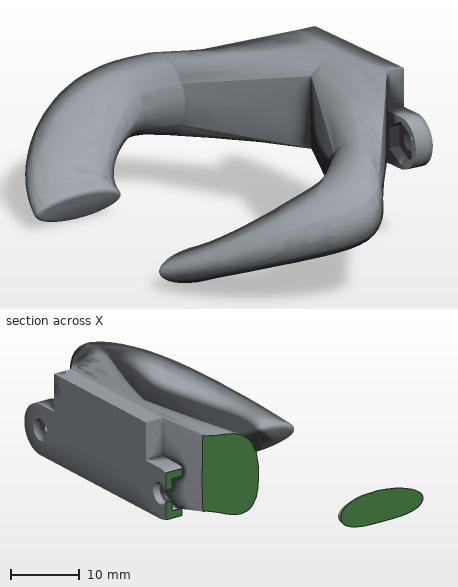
import cadquery as cq
import math

plate_width = 23.0
plate_height = 14.0
plate_thickness = 3.0

ear_height = 8.0
ear_radius = ear_height / 2
ear_center_x = 15.0
ear_center_z = ear_radius
screw_diameter = 3.4
nut_across_flats = 5.7
nut_across_corners = nut_across_flats / math.cos(math.pi / 6)
nut_turn = 30
nut_depth = 1.8

hook_sections = [
    ((-25.5, -17.9, 3.1), 6.8, 6.1, 0, 0),
    ((-29.65, -23.5, 1.5), 7.1, 5.15, 8, 12),
    ((-28.0, -29.35, -0.5), 6.7, 4.4, 34, 20),
    ((-22.9, -35.5, -3.8), 6.5, 3.2, 60, 23),
    ((-15.55, -38.9, -7.55), 7.6, 2.65, 90, 24),
]
tip_rounding = 0.6

corner_angle = math.degrees(math.atan2(plate_height, plate_width))
split_angles = [
    -corner_angle,
    corner_angle,
    180 - corner_angle,
    180 + corner_angle,
    360 - corner_angle,
]


def section_wire(center, half_width, half_thickness, turn, dive):
    """Elliptical cross section, its width horizontal and its plane square to the path."""
    turn = math.radians(turn)
    dive = math.radians(dive)
    width_direction = cq.Vector(-math.cos(turn), -math.sin(turn), 0)
    path_direction = cq.Vector(
        math.sin(turn) * math.cos(dive),
        -math.cos(turn) * math.cos(dive),
        -math.sin(dive),
    )
    arcs = [
        cq.Edge.makeEllipse(
            half_width, half_thickness, cq.Vector(*center), path_direction, width_direction, start, end
        )
        for start, end in zip(split_angles, split_angles[1:])
    ]
    return cq.Wire.assembleEdges(arcs)


def plate_wire():
    """Front outline of the plate, where both arms start."""
    half_width = plate_width / 2
    corners = [
        (-half_width, 0),
        (-half_width, plate_height),
        (half_width, plate_height),
        (half_width, 0),
    ]
    return cq.Wire.makePolygon([cq.Vector(x, -plate_thickness, z) for x, z in corners], close=True)


def left_arm():
    """Straight arm tapering from the full plate outline to the hook."""
    return cq.Workplane(cq.Solid.makeLoft([plate_wire(), section_wire(*hook_sections[0])], True))


def left_hook():
    """Curved hook, flattening towards a tip with a rounded rim."""
    wires = [section_wire(*section) for section in hook_sections]
    hook = cq.Workplane(cq.occ_impl.shapes.loft(wires, cap=True, compat=False))
    return hook.faces(">X").edges().fillet(tip_rounding)


def ear(side):
    """Round ear with a screw hole and a hexagonal nut pocket in its front face."""
    center_x = side * ear_center_x
    center = cq.Workplane("XZ").center(center_x, ear_center_z)
    bar = cq.Workplane("XZ").center(center_x / 2, ear_center_z).rect(ear_center_x, ear_height)
    body = bar.extrude(plate_thickness).union(center.circle(ear_radius).extrude(plate_thickness))
    hole = center.circle(screw_diameter / 2).extrude(plate_thickness)
    nut = (
        cq.Workplane("XZ", origin=(0, nut_depth - plate_thickness, 0))
        .center(center_x, ear_center_z)
        .transformed(rotate=(0, 0, nut_turn))
        .polygon(6, nut_across_corners)
        .extrude(nut_depth)
    )
    return body.cut(hole).cut(nut)


plate = cq.Workplane("XZ").rect(plate_width, plate_height).extrude(plate_thickness)
plate = plate.translate((0, 0, plate_height / 2))

arm = left_arm()
hook = left_hook()

result = plate
for piece in (ear(-1), ear(1), arm, arm.mirror("YZ"), hook, hook.mirror("YZ")):
    result = result.union(piece)